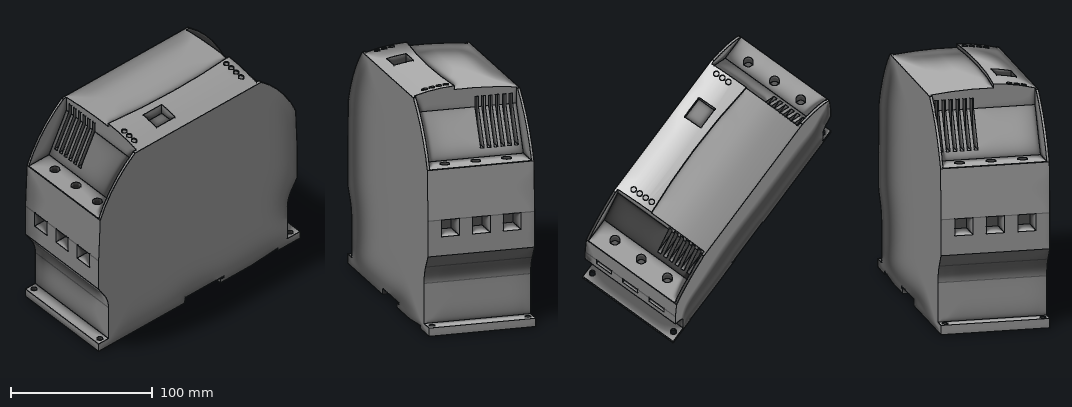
import cadquery as cq
import math

width = 79.0
overall_depth = 187.7
half_depth = 92.5
wall_thickness = 1.9
inner_half_width = width / 2 - wall_thickness

neck_half_depth = 83.4
neck_top = 35.7
flare_start = 48.8
flare_end = 57.8
widest_top = 84.1
shoulder_half_depth = 91.0
shoulder_height = 120.9
roof_half_depth = 58.8
roof_height = 165.2
shoulder_bulge = 3.5
flare_angle = math.radians(31.5)

dome_height = 167.8
cap_height = 170.5
cap_crest_x = 4.3
cap_edge_back_x = 7.9
cap_edge_middle_x = 10.7
cap_edge_front_x = 7.1
cap_edge_middle_y = 3.4

recess_face_y = 56.0
ledge_height = 121.3
ledge_inner_y = 72.0
slope_top = 153.5

vent_count = 6
vent_width = 2.6
vent_pitch = 5.0
first_vent_x = -33.6
vent_bottom = 126.9
vent_top = 161.0
vent_depth = 3.8

terminal_pitch = 22.9
screw_hole_diameter = 7.0
screw_hole_y = 79.5
screw_hole_depth = 18.8
wire_opening_width = 13.1
wire_opening_height = 12.4
wire_opening_depth = 18.8

indicator_diameter = 4.0
indicator_pitch = 5.3
indicator_depth = 1.0
back_indicators = (4, 12.5, 49.7)
front_indicators = (3, 20.0, -51.8)
window_width = 14.5
window_length = 17.3
window_x = 23.3
window_y = -22.2
window_floor = 161.6

front_foot_height = 7.0
back_foot_height = 6.2
back_foot_end = overall_depth - half_depth
foot_hole_diameter = 4.1
foot_hole_x = 35.5

channel_front_y = -12.5
channel_draft = 1.1
channel_height = 4.7
channel_back_y = 24.4
lip_y = 20.8
lip_height = 3.4
relief_deep_y = 74.5
relief_end_y = 50.1
relief_depth = 2.3


def extrude_across(outline, across):
    """Extrude a closed (Y, Z) outline along X, centred on X = 0."""
    return outline.extrude(across / 2, both=True)


def side_plane():
    return cq.Workplane("YZ")


def make_body():
    radius = (flare_start - neck_top) / math.sin(flare_angle)
    flare_y = neck_half_depth + radius * (1 - math.cos(flare_angle))
    mid_y = neck_half_depth + radius * (1 - math.cos(flare_angle / 2))
    mid_z = neck_top + radius * math.sin(flare_angle / 2)

    run = shoulder_half_depth - roof_half_depth
    rise = roof_height - shoulder_height
    chord = math.hypot(run, rise)
    bulge_y = (shoulder_half_depth + roof_half_depth) / 2 + shoulder_bulge * rise / chord
    bulge_z = (shoulder_height + roof_height) / 2 + shoulder_bulge * run / chord

    half_outline = (
        side_plane()
        .lineTo(neck_half_depth, 0)
        .lineTo(neck_half_depth, neck_top)
        .threePointArc((mid_y, mid_z), (flare_y, flare_start))
        .lineTo(half_depth, flare_end)
        .lineTo(half_depth, widest_top)
        .lineTo(shoulder_half_depth, shoulder_height)
        .threePointArc((bulge_y, bulge_z), (roof_half_depth, roof_height))
        .lineTo(0, roof_height)
        .close()
    )
    half = extrude_across(half_outline, width)
    return half.union(half.mirror("XZ"))


def cut_end_recess(body):
    outline = (
        side_plane()
        .moveTo(recess_face_y, cap_height)
        .lineTo(recess_face_y, slope_top)
        .lineTo(ledge_inner_y, ledge_height)
        .lineTo(half_depth, ledge_height)
        .lineTo(half_depth, cap_height)
        .close()
    )
    recess = extrude_across(outline, 2 * inner_half_width)
    return body.cut(recess).cut(recess.mirror("XZ"))


def make_dome(crest_x, crest_z):
    """Cylindrical roof that falls from its crest to the roof height at the right wall."""
    reach = width / 2 - crest_x
    return (
        cq.Workplane("XZ")
        .moveTo(crest_x - reach, roof_height)
        .threePointArc((crest_x, crest_z), (width / 2, roof_height))
        .close()
        .extrude(roof_half_depth, both=True)
    )


def make_cap():
    """Raised right part of the roof, bounded by a curved edge."""
    plan = (
        cq.Workplane("XY", origin=(0, 0, roof_height))
        .moveTo(cap_edge_front_x, -roof_half_depth)
        .threePointArc(
            (cap_edge_middle_x, cap_edge_middle_y),
            (cap_edge_back_x, roof_half_depth),
        )
        .lineTo(width / 2, roof_half_depth)
        .lineTo(width / 2, -roof_half_depth)
        .close()
        .extrude(cap_height - roof_height)
    )
    return make_dome(cap_crest_x, cap_height).intersect(plan)


def make_feet():
    placing = (True, False, False)
    front = cq.Workplane("XY").box(width, half_depth, front_foot_height, centered=placing)
    back = cq.Workplane("XY").box(width, back_foot_end, back_foot_height, centered=placing)
    return front.translate((0, -half_depth, 0)).union(back)


def make_foot_holes():
    front_y = -(neck_half_depth + half_depth) / 2
    back_y = (neck_half_depth + back_foot_end) / 2
    centres = [(x, y) for x in (-foot_hole_x, foot_hole_x) for y in (front_y, back_y)]
    return cq.Workplane("XY").pushPoints(centres).circle(foot_hole_diameter / 2).extrude(front_foot_height)


def make_vents():
    inner_y = recess_face_y - vent_depth
    length = ledge_inner_y - inner_y
    centres = [(first_vent_x + i * vent_pitch, inner_y + length / 2) for i in range(vent_count)]
    return (
        cq.Workplane("XY", origin=(0, 0, vent_bottom))
        .pushPoints(centres)
        .rect(vent_width, length)
        .extrude(vent_top - vent_bottom)
    )


def make_terminals():
    columns = [-terminal_pitch, 0, terminal_pitch]
    screw_holes = (
        cq.Workplane("XY", origin=(0, 0, ledge_height))
        .pushPoints([(x, screw_hole_y) for x in columns])
        .circle(screw_hole_diameter / 2)
        .extrude(-screw_hole_depth)
    )
    wire_openings = (
        cq.Workplane("XY", origin=(0, 0, widest_top))
        .pushPoints([(x, half_depth - wire_opening_depth / 2) for x in columns])
        .rect(wire_opening_width, wire_opening_depth)
        .extrude(-wire_opening_height)
    )
    return screw_holes.union(wire_openings)


def make_indicators(count, first_x, y):
    """Row of shallow holes whose floors follow the curved top of the cap."""
    pins = (
        cq.Workplane("XY", origin=(0, 0, roof_height))
        .pushPoints([(first_x + i * indicator_pitch, y) for i in range(count)])
        .circle(indicator_diameter / 2)
        .extrude(cap_height - roof_height)
    )
    floor = make_dome(cap_crest_x, cap_height).translate((0, 0, -indicator_depth))
    return pins.cut(floor)


def make_window():
    return (
        cq.Workplane("XY", origin=(window_x, window_y, window_floor))
        .rect(window_width, window_length)
        .extrude(cap_height - window_floor)
    )


def make_rail_channel():
    outline = side_plane().polyline([
        (channel_front_y, 0),
        (channel_front_y + channel_draft, channel_height),
        (channel_back_y, channel_height),
        (channel_back_y, lip_height),
        (lip_y, lip_height),
        (lip_y, 0),
    ]).close()
    return extrude_across(outline, width)


def make_relief():
    outline = side_plane().polyline([
        (relief_deep_y, 0),
        (relief_deep_y, relief_depth),
        (relief_end_y, 0),
    ]).close()
    return extrude_across(outline, width)


housing = make_body().union(make_dome(0, dome_height)).union(make_cap())
housing = cut_end_recess(housing).union(make_feet())
housing = housing.cut(make_foot_holes()).cut(make_rail_channel()).cut(make_relief())

for end_features in (make_vents(), make_terminals()):
    housing = housing.cut(end_features).cut(end_features.mirror("XZ"))

housing = housing.cut(make_indicators(*back_indicators)).cut(make_indicators(*front_indicators))
result = housing.cut(make_window())